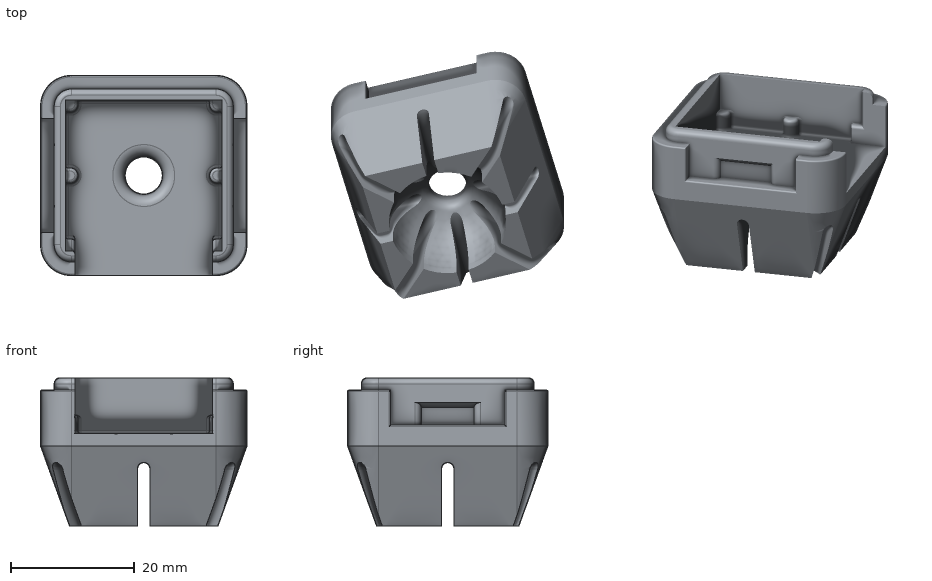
import cadquery as cq
import math


LENGTH = 33.4
WIDTH = 32.4
SHOULDER_Z = 22.0
TOP_Z = 24.0
CORNER_R = 5.0
EDGE_ROUND = 0.25

LEDGE = 2.2
RIM_WALL = 1.8
RIM_ROUND = 1.0
FLOOR_Z = 15.0
TRAY_FILLET = 0.5
MOUTH_WIDTH = 22.3

RIM_LENGTH = LENGTH - 2 * LEDGE
RIM_WIDTH = WIDTH - 2 * LEDGE
TRAY_LENGTH = RIM_LENGTH - 2 * RIM_WALL
TRAY_WIDTH = RIM_WIDTH - 2 * RIM_WALL

POST_R = 1.25
POST_TOP_Z = 18.0
POST_X = 11.9
POST_Y = 11.5

WINDOW_WIDTH = 18.5
WINDOW_SILL_Z = 16.35
RECESS_WIDTH = 8.52
RECESS_DEPTH = 1.0
RECESS_TOP_Z = 20.0
RECESS_ROOF_DROP = 0.8

PLUG_HEIGHT = 13.0
PLUG_INSET = 4.7
SLOT_WIDTH = 2.0
SLOT_TOP_Z = 10.3
SLOT_ANGLES = (0, 45, 90, 135)

HOLE_R = 3.0
HOLE_ROUND = 2.0
HOLE_BOTTOM_Z = 12.2
BORE_R = 9.5


def block(length, width, z_low, z_high):
    """Upright block centred on the Z axis."""
    return cq.Workplane("XY", origin=(0, 0, z_low)).rect(length, width).extrude(z_high - z_low)


def is_outer_edge(edge):
    """True for the outline of the ledge and the outer outline of the windows."""
    middle = edge.positionAt(0.5)
    at_side = abs(middle.x) > LENGTH / 2 - EDGE_ROUND
    beside_window = abs(middle.y) < WINDOW_WIDTH / 2 + EDGE_ROUND
    if beside_window:
        return at_side and middle.z > PLUG_HEIGHT
    return middle.z > SHOULDER_Z - EDGE_ROUND


def make_base():
    """Outer block, with both windows notched in and its outer edges rounded."""
    base = block(LENGTH, WIDTH, PLUG_HEIGHT, SHOULDER_Z).edges("|Z").fillet(CORNER_R)
    window_span = block(2 * LENGTH, WINDOW_WIDTH, WINDOW_SILL_Z, TOP_Z)
    between_windows = block(RIM_LENGTH, WIDTH, WINDOW_SILL_Z, TOP_Z)
    base = base.cut(window_span.cut(between_windows))

    outer_edges = [edge for edge in base.edges().vals() if is_outer_edge(edge)]
    return base.newObject(outer_edges).fillet(EDGE_ROUND)


def make_rim():
    rim = block(RIM_LENGTH, RIM_WIDTH, FLOOR_Z, TOP_Z).edges("|Z").fillet(CORNER_R - LEDGE)
    return rim.faces(">Z").edges().fillet(RIM_ROUND)


def make_plug():
    draft = math.degrees(math.atan(PLUG_INSET / PLUG_HEIGHT))
    outline = cq.Sketch().rect(LENGTH, WIDTH).vertices().fillet(CORNER_R)
    top = cq.Workplane("XY", origin=(0, 0, PLUG_HEIGHT))
    return top.placeSketch(outline).extrude(-PLUG_HEIGHT, taper=draft)


def mouth(inner_y, z_high):
    """Opening through the -Y wall, flaring with a round up to inner_y."""
    half = MOUTH_WIDTH / 2
    flare = half + TRAY_FILLET
    return (
        cq.Workplane("XY", origin=(0, 0, FLOOR_Z))
        .moveTo(-half, -WIDTH)
        .lineTo(half, -WIDTH)
        .lineTo(half, inner_y - TRAY_FILLET)
        .radiusArc((flare, inner_y), TRAY_FILLET)
        .lineTo(-flare, inner_y)
        .radiusArc((-half, inner_y - TRAY_FILLET), TRAY_FILLET)
        .close()
        .extrude(z_high - FLOOR_Z)
    )


def make_post_ring():
    """Lower tray walls with the posts blended into them, up to the post tops."""
    spots = [(side * POST_X, row * POST_Y) for side in (-1, 1) for row in (-1, 0, 1)]
    posts = (
        cq.Workplane("XY", origin=(0, 0, FLOOR_Z))
        .pushPoints(spots)
        .circle(POST_R)
        .extrude(POST_TOP_Z - FLOOR_Z)
    )
    space = block(TRAY_LENGTH, TRAY_WIDTH, FLOOR_Z, POST_TOP_Z).cut(posts)
    space = space.edges("|Z").fillet(TRAY_FILLET)
    space = space.faces("<Z").edges().fillet(TRAY_FILLET)

    ring = block(LENGTH, WIDTH, FLOOR_Z, POST_TOP_Z).cut(space)
    front = block(LENGTH, WIDTH / 2, FLOOR_Z, POST_TOP_Z).translate((0, -WIDTH / 2, 0))
    inner = cq.selectors.BoxSelector(
        (-RIM_LENGTH / 2, -RIM_WIDTH / 2, FLOOR_Z), (RIM_LENGTH / 2, RIM_WIDTH / 2, TOP_Z)
    )
    rounded = ring.faces(">Z").edges(inner).fillet(TRAY_FILLET)
    ring = rounded.union(ring.intersect(front))

    ring = ring.cut(mouth(TRAY_FILLET - POST_Y + POST_R, POST_TOP_Z))
    mouth_reach = MOUTH_WIDTH / 2 + TRAY_FILLET / 2
    along_mouth = cq.selectors.BoxSelector((-mouth_reach, -WIDTH, FLOOR_Z), (mouth_reach, 0, TOP_Z))
    return ring.faces(">Z").edges("|Y").edges(along_mouth).fillet(TRAY_FILLET)


def make_tray_space():
    space = block(TRAY_LENGTH, TRAY_WIDTH, FLOOR_Z, TOP_Z)
    space = space.union(mouth(-TRAY_WIDTH / 2, TOP_Z))
    return space.cut(make_post_ring())


def make_hole():
    """Screw hole with rounded ends, opening into the domed bore."""
    blend_x = HOLE_R + HOLE_ROUND
    reach = BORE_R + HOLE_ROUND
    dome_z = HOLE_BOTTOM_Z - math.sqrt(reach**2 - blend_x**2)
    share = BORE_R / reach
    touch = (share * blend_x, dome_z + share * (HOLE_BOTTOM_Z - dome_z))
    return (
        cq.Workplane("XZ")
        .lineTo(BORE_R, 0)
        .lineTo(BORE_R, dome_z)
        .radiusArc(touch, -BORE_R)
        .radiusArc((HOLE_R, HOLE_BOTTOM_Z), HOLE_ROUND)
        .lineTo(HOLE_R, FLOOR_Z - HOLE_ROUND)
        .radiusArc((blend_x, FLOOR_Z), HOLE_ROUND)
        .lineTo(0, FLOOR_Z)
        .close()
        .revolve()
    )


def make_slot(angle):
    """Round-topped slot across the whole plug."""
    spring_z = SLOT_TOP_Z - SLOT_WIDTH / 2
    slot = (
        cq.Workplane("XZ")
        .moveTo(-SLOT_WIDTH / 2, 0)
        .lineTo(-SLOT_WIDTH / 2, spring_z)
        .threePointArc((0, SLOT_TOP_Z), (SLOT_WIDTH / 2, spring_z))
        .lineTo(SLOT_WIDTH / 2, 0)
        .close()
        .extrude(LENGTH, both=True)
    )
    return slot.rotate((0, 0, 0), (0, 0, 1), angle)


def make_recess():
    """Finger recess at the -X window: rounded side edges and a sloping roof."""
    wall_x = -RIM_LENGTH / 2
    half = RECESS_WIDTH / 2
    plan = (
        cq.Workplane("XY", origin=(wall_x, 0, WINDOW_SILL_Z))
        .moveTo(0, -half - RECESS_DEPTH)
        .radiusArc((RECESS_DEPTH, -half), RECESS_DEPTH)
        .lineTo(RECESS_DEPTH, half)
        .radiusArc((0, half + RECESS_DEPTH), RECESS_DEPTH)
        .close()
        .extrude(RECESS_TOP_Z - WINDOW_SILL_Z)
    )
    section = (
        cq.Workplane("XZ", origin=(wall_x, 0, 0))
        .moveTo(0, WINDOW_SILL_Z)
        .lineTo(RECESS_DEPTH, WINDOW_SILL_Z)
        .lineTo(RECESS_DEPTH, RECESS_TOP_Z - RECESS_ROOF_DROP)
        .lineTo(0, RECESS_TOP_Z)
        .close()
        .extrude(WINDOW_WIDTH, both=True)
    )
    return plan.intersect(section)


result = make_base().union(make_rim()).union(make_plug())
result = result.cut(make_tray_space()).cut(make_hole())
for angle in SLOT_ANGLES:
    result = result.cut(make_slot(angle))
recess = make_recess()
result = result.cut(recess).cut(recess.mirror("YZ"))